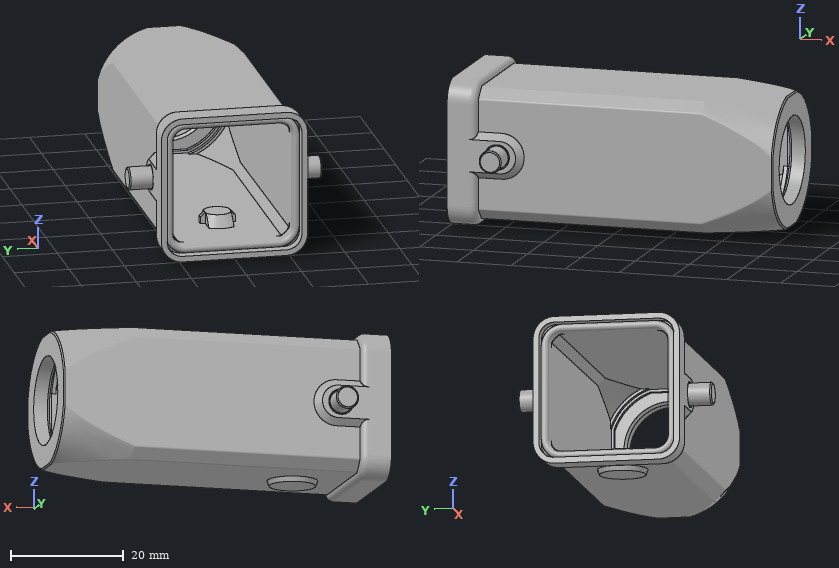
import cadquery as cq
import math

length = 60.0
body_half = 12.05
body_chamfer = 2.05
body_edge_radius = 0.5

nose_start = 46.8
nose_start_radius = math.hypot(body_half, body_half - body_chamfer)
nose_end_radius = 12.35
nose_rim_bevel = 0.25

collar_width = 26.6
collar_half = collar_width / 2
collar_length = 5.45
collar_corner = 3.9
collar_fillet = 1.25

rim_wall = 1.1
mouth_half = collar_half - rim_wall
mouth_corner = collar_corner - rim_wall
bead_radius = 0.7
bead_centre = 2.15
neck_half = mouth_half - 2 * bead_radius
neck_corner = 2.35
neck_end = 3.95

cavity_front_half = neck_half
cavity_back_half = 10.55
cavity_chamfer = 1.45
cavity_end = 55.2
cavity_cone_start = 45.0
cavity_cone_end_radius = 11.7
cavity_draft = math.degrees(math.atan((cavity_front_half - cavity_back_half) / (cavity_end - neck_end)))

seat_outer_radius = 11.15
seat_outer_depth = 0.9
seat_inner_radius = 10.7
seat_inner_half = 10.1
seat_inner_depth = 1.8
seat_floor = cavity_end + seat_inner_depth
bore_radius = 8.0
bore_bevel = 0.5

pin_x = 9.25
pin_radius = 2.05
pin_span = 35.0
pin_tip = pin_span / 2
pin_tip_bevel = 0.25
pin_groove_radius = 2.3
pin_groove_depth = 0.2
pad_arc_x = 9.8
pad_top_radius = 2.95
pad_flank_angle = 45

boss_x = 14.6
boss_base_radius = 4.5
boss_tip_radius = 4.15
boss_height = 0.9
catch_base_radius = 4.45
catch_top_radius = 2.5
catch_height = 2.1
catch_half_width = 2.3
catch_rib_half_width = 3.2
catch_rib_half_length = 0.55
catch_rib_bevel = 0.85

overlap = 0.3


def square_bar(half, start, end):
    """Square bar along X, centred on the axis."""
    side = 2 * half
    return cq.Workplane("YZ", origin=(start, 0, 0)).rect(side, side).extrude(end - start)


def rounded_bar(half, corner, start, end):
    """Square bar along X with rounded corners."""
    return square_bar(half, start, end).edges("|X").fillet(corner)


def cone_along_x(radius_start, radius_end, start, end):
    base = cq.Vector(start, 0, 0)
    along_x = cq.Vector(1, 0, 0)
    return cq.Workplane(cq.Solid.makeCone(radius_start, radius_end, end - start, base, along_x))


def round_bar(radius, start, end):
    return cq.Workplane("YZ", origin=(start, 0, 0)).circle(radius).extrude(end - start)


def corner_cone(start_radius, end_radius, cone_start, cone_end):
    """Cone that trims the corners of a square bar from cone_start to cone_end."""
    slope = (start_radius - end_radius) / (cone_end - cone_start)
    return cone_along_x(start_radius + slope * cone_start, end_radius, 0, cone_end)


def make_body():
    """Chamfered square bar with a conical nose and softened edges."""
    trim = corner_cone(nose_start_radius, nose_end_radius, nose_start, length)
    bar = square_bar(body_half, 0, length).edges("|X").chamfer(body_chamfer).intersect(trim)
    bar = bar.edges("not(<X or >X)").fillet(body_edge_radius)
    return bar.faces(">X").edges().chamfer(nose_rim_bevel)


def make_collar():
    """Rounded square collar with its rear edge rounded over."""
    collar = rounded_bar(collar_half, collar_corner, 0, collar_length)
    return collar.faces(">X").edges().fillet(collar_fillet)


def make_pin_and_pad():
    """Pad with sloping flanks and a locking pin on the -Y side."""
    pad_height = collar_half - body_half
    pad = (
        cq.Workplane("XZ", origin=(0, -collar_half, 0))
        .moveTo(overlap, -pad_top_radius)
        .lineTo(pad_arc_x, -pad_top_radius)
        .threePointArc((pad_arc_x + pad_top_radius, 0), (pad_arc_x, pad_top_radius))
        .lineTo(overlap, pad_top_radius)
        .close()
        .extrude(-pad_height, taper=-pad_flank_angle)
    )
    pad = pad.intersect(square_bar(collar_half, 0, length))
    groove = (
        cq.Workplane("XZ", origin=(pin_x, -collar_half, 0))
        .circle(pin_groove_radius)
        .extrude(-pin_groove_depth)
    )
    pin = (
        cq.Workplane("XZ", origin=(pin_x, -body_half, 0))
        .circle(pin_radius)
        .extrude(pin_tip - body_half)
        .faces("<Y")
        .chamfer(pin_tip_bevel)
    )
    return pad.cut(groove).union(pin)


def make_boss():
    """Tapered round boss standing out below the shell."""
    base = cq.Vector(boss_x, 0, -body_half)
    down = cq.Vector(0, 0, -1)
    cone = cq.Solid.makeCone(boss_base_radius, boss_tip_radius, boss_height, base, down)
    return cq.Workplane(cone)


def make_bead():
    """Half-round sealing bead facing the mouth, around the neck opening."""
    crest_half = neck_half + bead_radius
    crest_line = rounded_bar(crest_half, neck_corner + bead_radius, bead_centre, length).faces("<X").wires()
    profile = (
        cq.Workplane("XZ", origin=(bead_centre, 0, crest_half))
        .moveTo(0, -bead_radius)
        .threePointArc((-bead_radius, 0), (0, bead_radius))
        .close()
    )
    return profile.sweep(crest_line)


def make_cavity():
    """Hollow of the shell, from the neck to the stepped seat in the end wall."""
    neck = rounded_bar(neck_half, neck_corner, 0, neck_end)
    side = 2 * cavity_front_half
    chamber = (
        cq.Workplane("YZ", origin=(neck_end, 0, 0))
        .sketch()
        .rect(side, side)
        .vertices()
        .chamfer(cavity_chamfer)
        .finalize()
        .extrude(cavity_end - neck_end, taper=cavity_draft)
    )
    cone_start_radius = math.hypot(cavity_back_half, cavity_back_half - cavity_chamfer)
    trim = corner_cone(cone_start_radius, cavity_cone_end_radius, cavity_cone_start, cavity_end)
    chamber = chamber.intersect(trim)
    seat_start = cavity_end - overlap
    seat_outer = round_bar(seat_outer_radius, seat_start, cavity_end + seat_outer_depth)
    seat_outer = seat_outer.intersect(square_bar(cavity_back_half, 0, length))
    seat_inner = round_bar(seat_inner_radius, seat_start, seat_floor)
    seat_inner = seat_inner.intersect(square_bar(seat_inner_half, 0, length))
    return neck.union(chamber).union(seat_outer).union(seat_inner)


def make_bore():
    """Cable bore through the end wall, bevelled on the inside."""
    hole = round_bar(bore_radius, seat_floor - overlap, length + overlap)
    bevel = cone_along_x(bore_radius + bore_bevel, bore_radius, seat_floor, seat_floor + bore_bevel)
    return hole.union(bevel)


def make_catch():
    """Catch on the cavity floor above the boss: a cone with flat sides and a cross rib through it."""
    floor = -cavity_front_half - overlap
    height = catch_height + overlap
    on_floor = (True, True, False)
    centre = cq.Vector(boss_x, 0, floor)
    cone = cq.Workplane(cq.Solid.makeCone(catch_base_radius, catch_top_radius, height, centre))
    base = cq.Workplane("XY", origin=centre)
    slab = base.box(2 * catch_base_radius, 2 * catch_half_width, height, centered=on_floor)
    rib = base.box(2 * catch_rib_half_length, 2 * catch_rib_half_width, height, centered=on_floor)
    rib = rib.edges("|X and >Z").chamfer(catch_rib_bevel)
    return cone.intersect(slab).union(rib)


pin = make_pin_and_pad()
mouth = rounded_bar(mouth_half, mouth_corner, 0, bead_centre)

result = make_body().union(make_collar()).union(pin).union(pin.mirror("XZ")).union(make_boss())
result = result.cut(mouth).cut(make_cavity()).cut(make_bore())
result = result.union(make_bead()).union(make_catch())